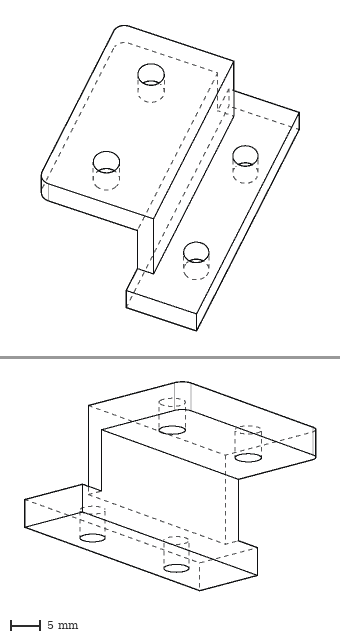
import cadquery as cq

total_height = 21.0
plate_thickness = 5.0
web_thickness = 3.0

base_width = 13.0
base_length = 46.0
base_hole_diameter = 4.3
base_hole_spacing = 22.0
base_hole_edge_distance = 5.0

top_width = 21.4
top_length = 36.0
top_corner_radius = 2.0
top_hole_diameter = 4.5
top_hole_spacing = 20.0
top_hole_edge_distance = 12.0

web_outer_x = web_thickness
top_free_edge_x = web_outer_x - top_width
top_hole_x = web_outer_x - top_hole_edge_distance
base_hole_x = base_width - base_hole_edge_distance
top_bottom_z = total_height - plate_thickness


def block(x_start, width, length, z_start, height):
    """Box starting at x_start and z_start, centred on Y = 0."""
    return (
        cq.Workplane("XY")
        .box(width, length, height, centered=(False, True, False))
        .translate((x_start, 0, z_start))
    )


def hole_pair(x, spacing, diameter, z_start):
    """Two vertical cutters through one flange, symmetric about Y = 0."""
    return (
        cq.Workplane("XY", origin=(x, 0, z_start))
        .pushPoints([(0, -spacing / 2), (0, spacing / 2)])
        .circle(diameter / 2)
        .extrude(plate_thickness)
    )


def make_base():
    base = block(0, base_width, base_length, 0, plate_thickness)
    return base.cut(hole_pair(base_hole_x, base_hole_spacing, base_hole_diameter, 0))


def make_web():
    return block(0, web_thickness, top_length, plate_thickness, top_bottom_z - plate_thickness)


def make_top():
    top = block(top_free_edge_x, top_width, top_length, top_bottom_z, plate_thickness)
    top = top.faces("<X").edges("|Z").fillet(top_corner_radius)
    return top.cut(hole_pair(top_hole_x, top_hole_spacing, top_hole_diameter, top_bottom_z))


result = make_base().union(make_web()).union(make_top())